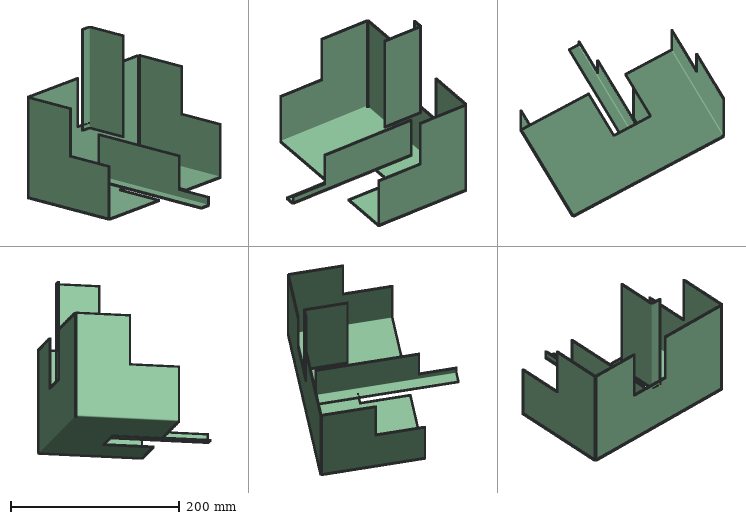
import cadquery as cq

sheet = 1.0
bend_radius = 1.7
corner_gap = 0.5

cover_length = 207.0
cover_reach = 126.5
cover_arm = 66.9
slot_start = 93.2
slot_width = 50.0
slot_bottom = 65.8

divider_clearance = 0.5
divider_reach = 186.0
divider_arm = 54.2
divider_back = 113.8
flange_front = 100.2
runner_start = 16.0
tongue_start = 140.8
tongue_top = 12.2
strip_gap = 5.4

divider_base = sheet + divider_clearance
strip_edge = divider_base + bend_radius
flange_edge = divider_back - bend_radius


def block(x0, x1, y0, y1, z0, z1):
    """Box between the given coordinates."""
    return cq.Workplane("XY").box(x1 - x0, y1 - y0, z1 - z0, centered=False).translate((x0, y0, z0))


def bend(plane, start, length, across, up):
    """Quarter-round sheet bend; across and up (+1 or -1) point from its outer corner to its centre."""
    r = bend_radius
    inner = r - sheet
    diag = 0.5 ** 0.5
    return (
        cq.Workplane(plane)
        .moveTo(across * r, 0)
        .threePointArc((across * r * (1 - diag), up * r * (1 - diag)), (0, up * r))
        .lineTo(across * sheet, up * r)
        .threePointArc(
            (across * (r - inner * diag), up * (r - inner * diag)), (across * r, up * sheet)
        )
        .close()
        .extrude(length)
        .translate(start)
    )


def end_wall():
    """L-shaped end wall at Y = 0 with the bend that joins it to the floor."""
    left = sheet + corner_gap
    wall = (
        cq.Workplane("XZ")
        .polyline([
            (left, bend_radius),
            (cover_reach, bend_radius),
            (cover_reach, cover_arm),
            (cover_arm, cover_arm),
            (cover_arm, cover_reach),
            (left, cover_reach),
        ])
        .close()
        .extrude(-sheet)
    )
    floor_bend = bend("YZ", (bend_radius, 0, 0), cover_reach - bend_radius, 1, 1)
    return wall.union(floor_bend)


def make_cover():
    r = bend_radius
    floor = block(r, cover_reach, r, cover_length - r, 0, sheet)
    wall_end = sheet + corner_gap
    left_wall = block(0, sheet, wall_end, cover_length - wall_end, r, cover_reach)
    left_bend = bend("XZ", (0, cover_length - r, 0), cover_length - 2 * r, 1, 1)
    near_wall = end_wall()
    far_wall = near_wall.mirror("XZ").translate((0, cover_length, 0))
    cover = floor.union(left_bend).union(left_wall).union(near_wall).union(far_wall)

    slot_end = slot_start + slot_width
    floor_slot = block(slot_bottom, cover_reach, slot_start, slot_end, 0, sheet)
    wall_slot = block(0, sheet, slot_start, slot_end, slot_bottom, cover_reach)
    return cover.cut(floor_slot).cut(wall_slot)


def make_runner():
    """Strip along the floor, ending in a tongue outside the cover."""
    plate = (
        cq.Workplane("XZ", origin=(0, divider_back, 0))
        .polyline([
            (runner_start, strip_edge),
            (divider_reach, strip_edge),
            (divider_reach, tongue_top),
            (tongue_start, tongue_top),
            (tongue_start, divider_arm),
            (runner_start, divider_arm),
        ])
        .close()
        .extrude(sheet)
    )
    flange = block(runner_start, divider_reach, flange_front, flange_edge, divider_base, divider_base + sheet)
    length = divider_reach - runner_start
    fold = bend("YZ", (runner_start, divider_back, divider_base), length, -1, 1)
    return plate.union(fold).union(flange)


def make_upright():
    """Strip standing along the left wall above the runner."""
    bottom = divider_arm + strip_gap
    plate = block(strip_edge, divider_arm, divider_back - sheet, divider_back, bottom, divider_reach)
    flange = block(divider_base, divider_base + sheet, flange_front, flange_edge, bottom, divider_reach)
    fold = bend("XY", (divider_base, divider_back, bottom), divider_reach - bottom, 1, -1)
    return plate.union(fold).union(flange)


cover = make_cover()
runner = make_runner()
upright = make_upright()

result = cq.Compound.makeCompound([cover.val(), runner.val(), upright.val()])